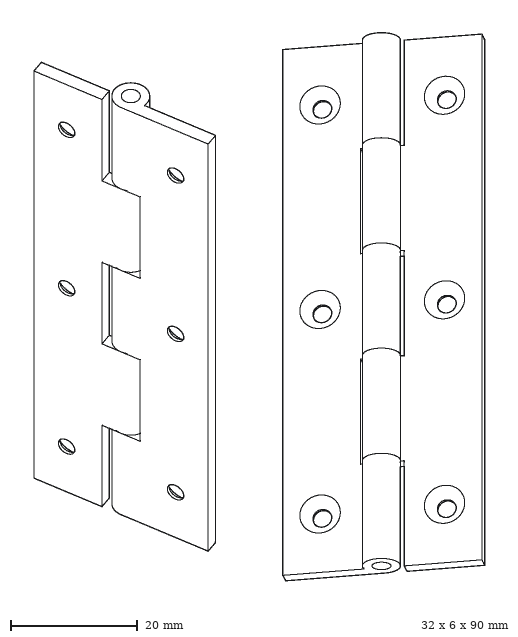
import cadquery as cq

hinge_width = 32.0
hinge_length = 90.0
leaf_thickness = 2.3
knuckle_diameter = 6.0
pin_diameter = 3.0
knuckle_count = 5
notch_clearance = 0.5
screw_hole_diameter = 3.0
countersink_diameter = 6.5
screw_hole_offset = 10.0
screw_hole_pitch = 35.0

leaf_width = hinge_width / 2
knuckle_radius = knuckle_diameter / 2
axis_y = knuckle_radius
knuckle_length = hinge_length / knuckle_count
notch_depth = knuckle_radius + notch_clearance
countersink_depth = (countersink_diameter - screw_hole_diameter) / 2
screw_hole_heights = [-screw_hole_pitch, 0, screw_hole_pitch]


def plate_between(x_start, x_end, height, z_center):
    """Piece of leaf plate between two X positions, centred on z_center."""
    return (
        cq.Workplane("XY")
        .box(abs(x_end - x_start), leaf_thickness, height)
        .translate(((x_start + x_end) / 2, leaf_thickness / 2, z_center))
    )


def axis_cylinder(diameter, height, z_center):
    """Cylinder on the hinge axis, centred on z_center."""
    return cq.Workplane("XY").cylinder(height, diameter / 2).translate((0, axis_y, z_center))


def knuckle_center(index):
    """Z of the middle of a knuckle, counted from the bottom."""
    return (index + 0.5) * knuckle_length - hinge_length / 2


def screw_hole_cutter(x, z):
    """Through hole along Y with a conical countersink opening on the back face of the leaf."""
    hole_radius = screw_hole_diameter / 2
    countersink_radius = countersink_diameter / 2
    profile = [
        (0, 0),
        (hole_radius, 0),
        (hole_radius, leaf_thickness - countersink_depth),
        (countersink_radius, leaf_thickness),
        (0, leaf_thickness),
    ]
    return cq.Workplane("XY").polyline(profile).close().revolve(360, (0, 0), (0, 1)).translate((x, 0, z))


def make_leaf(side, own_knuckles):
    """Leaf on the +X (side = 1) or -X (side = -1) half, with the knuckles it carries."""
    plate_edge = side * notch_depth
    outer_edge = side * leaf_width
    leaf = plate_between(plate_edge, outer_edge, hinge_length, 0)

    for index in own_knuckles:
        z_center = knuckle_center(index)
        web = plate_between(0, plate_edge, knuckle_length, z_center)
        knuckle = axis_cylinder(knuckle_diameter, knuckle_length, z_center)
        leaf = leaf.union(web).union(knuckle)

    leaf = leaf.cut(axis_cylinder(pin_diameter, hinge_length, 0))

    for z in screw_hole_heights:
        leaf = leaf.cut(screw_hole_cutter(side * screw_hole_offset, z))

    return leaf.solids()


right_leaf = make_leaf(1, range(0, knuckle_count, 2))
left_leaf = make_leaf(-1, range(1, knuckle_count, 2))

pin = axis_cylinder(pin_diameter, hinge_length, 0)

result = cq.Compound.makeCompound([right_leaf.val(), left_leaf.val(), pin.val()])